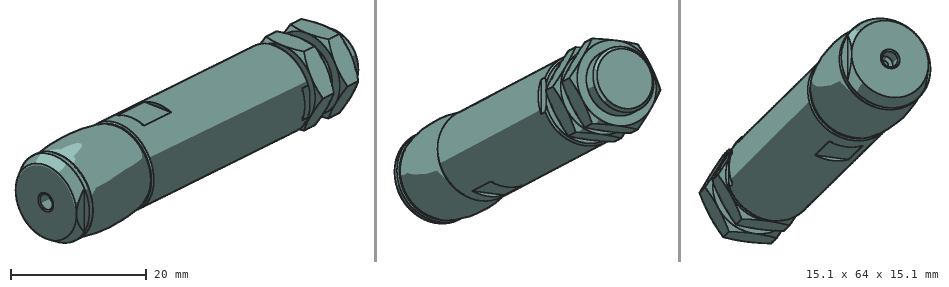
import cadquery as cq
import math

LENGTH = 64.0

BARREL_DIA = 14.0
BARREL_FRONT = 15.8
BARREL_REAR = 51.1
BARREL_FRONT_CHAMFER = 0.25
BARREL_REAR_CHAMFER = 0.3
STEM_DIA = 10.0
STEM_CHAMFER = 0.45
COLLAR_DIA = 10.4
COLLAR_LENGTH = 0.25
WRENCH_WIDTH = 13.0
REAR_FLAT_LENGTH = 1.65
POCKET_FRONT = 18.8
POCKET_LENGTH = 5.95

SLEEVE_FRONT = 2.9
SLEEVE_DIA = 15.05
SLEEVE_SHOULDER_DIA = 14.0
SLEEVE_END_DIA = 13.2
SLEEVE_SHOULDER_LENGTH = 1.0
SHOULDER_BULGE = 0.08

CAP_CONE_LENGTH = 1.8
CAP_FRONT_DIA = 12.0
CAP_FACE_DIA = 11.5
CAP_BEVEL_LENGTH = 0.05
CAP_REAR_CHAMFER = 0.25
CAP_FLAT_WIDTH = 12.0
HOLE_MOUTH_DIA = 3.0
HOLE_DIA = 2.4
HOLE_MOUTH_DEPTH = 0.1
HOLE_STRAIGHT_DEPTH = 2.2
HOLE_BOTTOM_DIA = 1.3
HOLE_DEPTH = 2.55

NUT_THICKNESS = 3.6
NUT_FRONT_POSITIONS = (52.3, 57.7)
NUT_CHAMFER_ANGLE = 30.0


def revolve_about_y(profile):
    """Revolve an outline of (radius, y) points around the Y axis."""
    return profile.close().revolve(360, (0, 0, 0), (0, 1, 0))


def cylinder(diameter, front, length):
    """Make a cylinder along Y that starts at y = front."""
    return revolve_about_y(
        cq.Workplane("XY").polyline(
            [(0, front), (diameter / 2, front), (diameter / 2, front + length), (0, front + length)]
        )
    )


def block(size_x, size_z, front, length):
    """Make a block centred on the Y axis that starts at y = front."""
    return cq.Workplane("XY").box(size_x, length, size_z).translate((0, front + length / 2, 0))


def make_housing():
    barrel = cylinder(BARREL_DIA, BARREL_FRONT, BARREL_REAR - BARREL_FRONT)
    barrel = barrel.faces("<Y").chamfer(BARREL_FRONT_CHAMFER)
    barrel = barrel.faces(">Y").chamfer(BARREL_REAR_CHAMFER)

    flat_front = BARREL_REAR - REAR_FLAT_LENGTH
    rear_end = block(BARREL_DIA, BARREL_DIA, flat_front, REAR_FLAT_LENGTH)
    rear_core = block(WRENCH_WIDTH, BARREL_DIA, flat_front, REAR_FLAT_LENGTH)
    barrel = barrel.cut(rear_end.cut(rear_core))

    pocket_band = block(BARREL_DIA, BARREL_DIA, POCKET_FRONT, POCKET_LENGTH)
    pocket_core = block(BARREL_DIA, WRENCH_WIDTH, POCKET_FRONT, POCKET_LENGTH)
    barrel = barrel.cut(pocket_band.cut(pocket_core))

    collar = cylinder(COLLAR_DIA, BARREL_REAR, COLLAR_LENGTH)
    stem = cylinder(STEM_DIA, BARREL_REAR, LENGTH - BARREL_REAR).faces(">Y").chamfer(STEM_CHAMFER)
    return barrel.union(collar).union(stem)


def make_sleeve():
    end_radius = SLEEVE_END_DIA / 2
    shoulder_radius = SLEEVE_SHOULDER_DIA / 2
    front_shoulder = SLEEVE_FRONT + SLEEVE_SHOULDER_LENGTH
    rear_shoulder = BARREL_FRONT - SLEEVE_SHOULDER_LENGTH
    middle = (SLEEVE_FRONT + BARREL_FRONT) / 2
    bulge_radius = (end_radius + shoulder_radius) / 2 + SHOULDER_BULGE
    profile = (
        cq.Workplane("XY")
        .moveTo(0, SLEEVE_FRONT)
        .lineTo(end_radius, SLEEVE_FRONT)
        .threePointArc((bulge_radius, (SLEEVE_FRONT + front_shoulder) / 2), (shoulder_radius, front_shoulder))
        .threePointArc((SLEEVE_DIA / 2, middle), (shoulder_radius, rear_shoulder))
        .threePointArc((bulge_radius, (BARREL_FRONT + rear_shoulder) / 2), (end_radius, BARREL_FRONT))
        .lineTo(0, BARREL_FRONT)
    )
    return revolve_about_y(profile)


def make_cap():
    rim_radius = BARREL_DIA / 2
    cap = revolve_about_y(
        cq.Workplane("XY").polyline(
            [
                (0, 0),
                (CAP_FACE_DIA / 2, 0),
                (CAP_FRONT_DIA / 2, CAP_BEVEL_LENGTH),
                (rim_radius, CAP_CONE_LENGTH),
                (rim_radius, SLEEVE_FRONT - CAP_REAR_CHAMFER),
                (rim_radius - CAP_REAR_CHAMFER, SLEEVE_FRONT),
                (0, SLEEVE_FRONT),
            ]
        )
    )

    cone_band = block(BARREL_DIA, BARREL_DIA, 0, CAP_CONE_LENGTH)
    cone_core = block(CAP_FLAT_WIDTH, BARREL_DIA, 0, CAP_CONE_LENGTH)
    cap = cap.cut(cone_band.cut(cone_core))

    hole = revolve_about_y(
        cq.Workplane("XY").polyline(
            [
                (0, 0),
                (HOLE_MOUTH_DIA / 2, 0),
                (HOLE_DIA / 2, HOLE_MOUTH_DEPTH),
                (HOLE_DIA / 2, HOLE_STRAIGHT_DEPTH),
                (HOLE_BOTTOM_DIA / 2, HOLE_DEPTH),
                (0, HOLE_DEPTH),
            ]
        )
    )
    return cap.cut(hole)


def make_nut(front):
    """Make a hexagonal nut with corners on the X sides, bored to fit the stem."""
    corner_radius = WRENCH_WIDTH / math.sqrt(3)
    face_radius = WRENCH_WIDTH / 2
    chamfer_length = (corner_radius - face_radius) * math.tan(math.radians(NUT_CHAMFER_ANGLE))
    rear = front + NUT_THICKNESS
    hexagon = (
        cq.Workplane("XZ", origin=(0, rear, 0)).polygon(6, 2 * corner_radius).extrude(NUT_THICKNESS)
    )
    chamfered_envelope = revolve_about_y(
        cq.Workplane("XY").polyline(
            [
                (0, front),
                (face_radius, front),
                (corner_radius, front + chamfer_length),
                (corner_radius, rear - chamfer_length),
                (face_radius, rear),
                (0, rear),
            ]
        )
    )
    return hexagon.intersect(chamfered_envelope).cut(cylinder(STEM_DIA, front, NUT_THICKNESS))


housing = make_housing()
sleeve = make_sleeve()
cap = make_cap()
nuts = [make_nut(front) for front in NUT_FRONT_POSITIONS]

result = cq.Compound.makeCompound(
    [housing.val(), sleeve.val(), cap.val(), *[nut.val() for nut in nuts]]
)